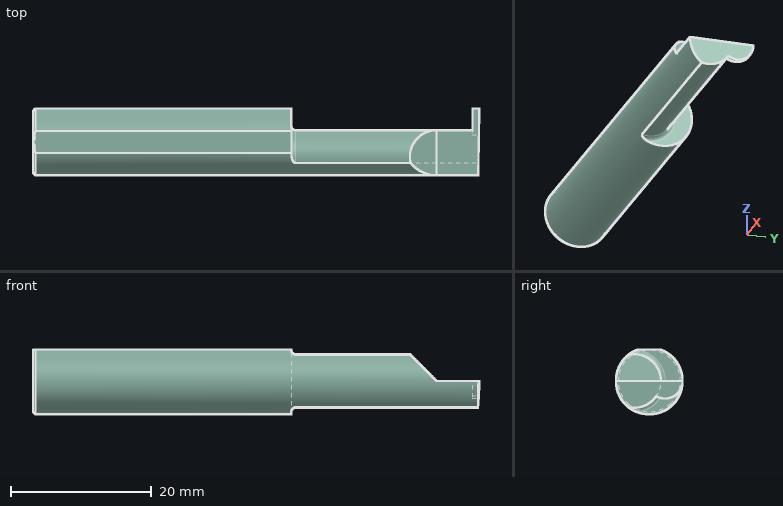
import cadquery as cq
import math

total_length = 63.5
shank_length = 36.75
shank_radius = 9.525 / 2
shank_flat_z = 4.5
end_chamfer = 0.35

neck_radius = 3.81
neck_max_y = 1.67
neck_center_y = neck_max_y - neck_radius
root_fillet = 0.6

rake_z = 0.0
rake_start_x = 57.4
ramp_angle = 45.0

tooth_tip_y = 4.75
tooth_width = 1.0
tooth_relief_radius = 2.5
side_relief_angle = 1.0
front_relief_angle = 1.5

oversize = 2 * shank_radius


def cylinder_along_x(start_x, end_x, radius, center_y=0.0):
    return cq.Workplane("YZ", origin=(start_x, center_y, 0)).circle(radius).extrude(end_x - start_x)


def make_shank():
    """Round shank with a chamfered back end and a narrow flat on top."""
    shank = cylinder_along_x(0, shank_length, shank_radius)
    shank = shank.faces("<X").chamfer(end_chamfer)
    above_flat = (
        cq.Workplane("XY", origin=(0, 0, shank_flat_z))
        .rect(2 * shank_length + oversize, oversize)
        .extrude(oversize)
    )
    return shank.cut(above_flat)


def make_neck():
    """Neck with a concave fillet flaring out at the shoulder, kept inside the shank cylinder."""
    root_end_x = shank_length + root_fillet
    flare_radius = neck_radius + root_fillet
    arc_offset = root_fillet * (1 - math.sqrt(0.5))
    half_profile = (
        cq.Workplane("XY", origin=(0, neck_center_y, 0))
        .moveTo(shank_length, 0)
        .lineTo(shank_length, flare_radius)
        .threePointArc(
            (shank_length + arc_offset, neck_radius + arc_offset),
            (root_end_x, neck_radius),
        )
        .lineTo(total_length, neck_radius)
        .lineTo(total_length, 0)
        .close()
    )
    neck = half_profile.revolve(360, (0, 0, 0), (1, 0, 0))
    return neck.intersect(cylinder_along_x(shank_length, total_length, shank_radius))


def make_tooth():
    """Tooth reaching +Y at the tip, with its flank curving away below the cutting edge."""
    return cylinder_along_x(
        total_length - tooth_width,
        total_length,
        tooth_relief_radius,
        tooth_tip_y - tooth_relief_radius,
    )


def make_rake_cutter():
    """Everything above the rake face and the ramp that leads down to it."""
    ramp_run = oversize / math.tan(math.radians(ramp_angle))
    return (
        cq.Workplane("XZ", origin=(0, oversize, 0))
        .moveTo(rake_start_x, rake_z)
        .lineTo(total_length + oversize, rake_z)
        .lineTo(total_length + oversize, rake_z + oversize)
        .lineTo(rake_start_x - ramp_run, rake_z + oversize)
        .close()
        .extrude(2 * oversize)
    )


def make_end_relief_cutter():
    """Block whose inner face leans back from the tooth corner toward -Y and -Z."""
    return (
        cq.Workplane("XY")
        .box(oversize, 4 * oversize, 4 * oversize, centered=(False, True, True))
        .rotate((0, 0, 0), (0, 0, 1), -side_relief_angle)
        .rotate((0, 0, 0), (0, 1, 0), front_relief_angle)
        .translate((total_length, tooth_tip_y, rake_z))
    )


result = make_shank().union(make_neck()).union(make_tooth())
result = result.cut(make_rake_cutter()).cut(make_end_relief_cutter())